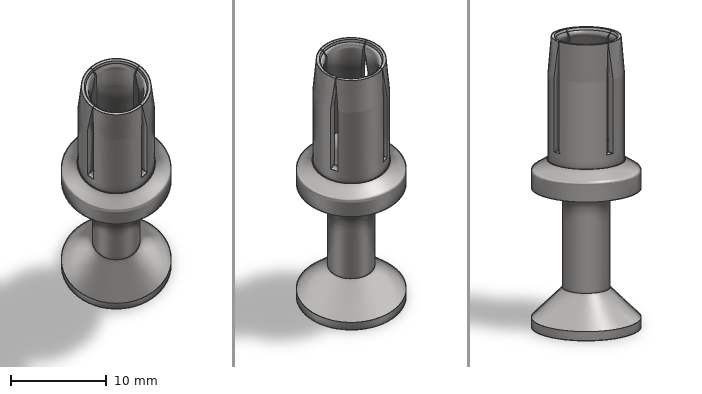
import cadquery as cq

total_height = 31.5
foot_rim_top = 1.0
foot_cone_top = 4.25
collar_bottom = 15.05
collar_edge_height = 17.1
collar_cone_top = 18.15
slot_bottom = 19.53
taper_bottom = 27.5

flange_radius = 11.5 / 2
stem_radius = 2.5
collar_top_radius = 4.1
sleeve_radius = 4.0
sleeve_tip_radius = 3.65
collar_edge_fillet = 0.47
edge_search_margin = 0.15

bore_radius = 3.15
bore_floor = slot_bottom
drill_point_depth = 1.67
throat_radius = 2.9
throat_depth = 0.95
mouth_radius = 3.35
mouth_lip_radius = 3.2
mouth_lip_depth = 0.25
mouth_curve_bulge = 0.1

slot_width = 0.85
slot_tip_width = 0.03
slot_length = 2 * flange_radius


def make_outer_body():
    """Turned outside shape, with the upper rim of the collar rounded."""
    body = (
        cq.Workplane("XZ")
        .moveTo(0, 0)
        .lineTo(flange_radius, 0)
        .lineTo(flange_radius, foot_rim_top)
        .lineTo(stem_radius, foot_cone_top)
        .lineTo(stem_radius, collar_bottom)
        .lineTo(flange_radius, collar_bottom)
        .lineTo(flange_radius, collar_edge_height)
        .lineTo(collar_top_radius, collar_cone_top)
        .lineTo(sleeve_radius, collar_cone_top)
        .lineTo(sleeve_radius, taper_bottom)
        .lineTo(sleeve_tip_radius, total_height)
        .lineTo(0, total_height)
        .close()
        .revolve(360, (0, 0, 0), (0, 1, 0))
    )
    collar_edge = cq.selectors.BoxSelector(
        (-2 * flange_radius, -2 * flange_radius, collar_edge_height - edge_search_margin),
        (2 * flange_radius, 2 * flange_radius, collar_edge_height + edge_search_margin),
        boundingbox=True,
    )
    return body.edges(collar_edge).fillet(collar_edge_fillet)


def make_socket():
    """Bore with a drill-point floor, tapering to a throat below a rounded mouth."""
    throat_height = total_height - throat_depth
    mouth_lip_height = total_height - mouth_lip_depth
    return (
        cq.Workplane("XZ")
        .moveTo(0, bore_floor - drill_point_depth)
        .lineTo(bore_radius, bore_floor)
        .lineTo(bore_radius, taper_bottom)
        .lineTo(throat_radius, throat_height)
        .sagittaArc((mouth_lip_radius, mouth_lip_height), mouth_curve_bulge)
        .lineTo(mouth_radius, total_height)
        .lineTo(0, total_height)
        .close()
        .revolve(360, (0, 0, 0), (0, 1, 0))
    )


def make_slot():
    """Slot along Y that narrows over the tapered finger tips."""
    return (
        cq.Workplane("XZ")
        .moveTo(-slot_width / 2, slot_bottom)
        .lineTo(slot_width / 2, slot_bottom)
        .lineTo(slot_width / 2, taper_bottom)
        .lineTo(slot_tip_width / 2, total_height)
        .lineTo(-slot_tip_width / 2, total_height)
        .lineTo(-slot_width / 2, taper_bottom)
        .close()
        .extrude(slot_length / 2, both=True)
    )


result = make_outer_body().cut(make_socket())
for slot_angle in (0, 90):
    result = result.cut(make_slot().rotate((0, 0, 0), (0, 0, 1), slot_angle))